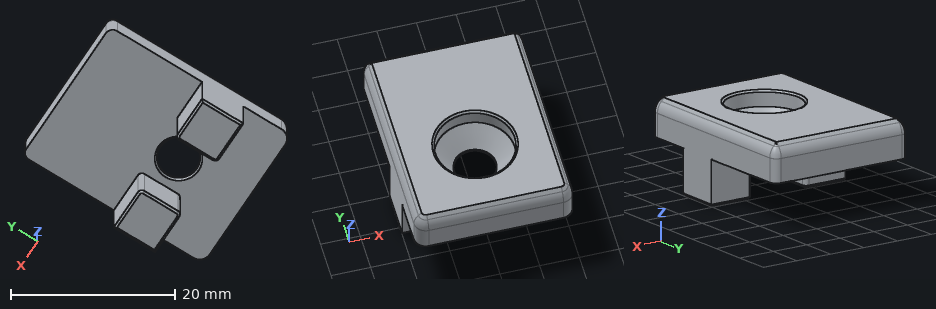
import cadquery as cq
import math

width = 20.0
length = 26.3
plate_height = 5.0
front_corner_radius = 1.5
rear_corner_radius = 1.0
edge_chamfer = 1.0
rim_slope_angle = 45
edge_blend_radius = 2.0

hole_y = 10.0
hole_diameter = 5.29
head_diameter = 10.0
head_depth = 2.1
rim_chamfer = 0.25

leg_width = 6.05
leg_depth = 6.0
leg_height = 6.0
leg_inner_radius = 0.58
foot_chamfer = 0.3


def add_rim_section(sketch, wall):
    """Draw the blended wall and chamfer up to the top, starting on a wall at the underside.

    The wall stands at the given distance from the sketch axis and the chamfer leans inward.
    """
    bend = math.radians(rim_slope_angle)
    blend_bottom = plate_height - edge_chamfer - edge_blend_radius * math.tan(bend / 2)

    def point_on_blend(angle):
        inset = edge_blend_radius * (1 - math.cos(angle))
        rise = edge_blend_radius * math.sin(angle)
        return (wall - inset, blend_bottom + rise)

    return (
        sketch.lineTo(wall, blend_bottom)
        .threePointArc(point_on_blend(bend / 2), point_on_blend(bend))
        .lineTo(wall - edge_chamfer, plate_height)
    )


def make_bar(plane, run_length, bar_width):
    """Straight bar, centred on its plane, with the rim section on both of its long sides."""
    half = cq.Workplane(plane).lineTo(bar_width / 2, 0)
    half = add_rim_section(half, bar_width / 2)
    half = half.lineTo(0, plate_height).close().extrude(run_length / 2, both=True)
    return half.union(half.rotate((0, 0, 0), (0, 0, 1), 180))


def make_corner_post(radius):
    """Round post whose outside is the rim section turned about the corner axis."""
    sketch = add_rim_section(cq.Workplane("XZ").lineTo(radius, 0), radius)
    if radius > edge_chamfer:
        sketch = sketch.lineTo(0, plate_height)
    return sketch.close().revolve(360, (0, 0, 0), (0, 1, 0))


def make_plate():
    """Slab with rounded corners and a chamfered top rim that blends into its walls."""
    plate = make_bar("XZ", length, width).intersect(make_bar("YZ", width, length))
    plate = plate.translate((0, length / 2, 0))
    corners = [
        (front_corner_radius, 0, 1),
        (rear_corner_radius, length, -1),
    ]
    for radius, corner_y, inward in corners:
        for side in (-1, 1):
            square = cq.Workplane("XY").box(radius, radius, plate_height, centered=(True, True, False))
            square_center = (side * (width - radius) / 2, corner_y + inward * radius / 2, 0)
            post_center = (side * (width / 2 - radius), corner_y + inward * radius, 0)
            plate = plate.cut(square.translate(square_center))
            plate = plate.union(make_corner_post(radius).translate(post_center))
    return plate


def make_leg(side):
    """Square leg on one side (-1 left, +1 right) with rounded inner edges."""
    leg = cq.Workplane("XY").box(leg_width, leg_depth, leg_height, centered=(True, True, False))
    inner_face = "<X" if side > 0 else ">X"
    leg = leg.edges(f"|Z and {inner_face}").fillet(leg_inner_radius)
    leg = leg.faces("<Z").edges().chamfer(foot_chamfer)
    return leg.translate((side * (width - leg_width) / 2, hole_y, -leg_height))


def make_screw_hole():
    """Stepped cutter: head bore, 45 degree cone and through hole, chamfered at both mouths."""
    hole_radius = hole_diameter / 2
    head_radius = head_diameter / 2
    head_floor = plate_height - head_depth
    cone_bottom = head_floor - (head_radius - hole_radius)
    profile = [
        (0, 0),
        (hole_radius + rim_chamfer, 0),
        (hole_radius, rim_chamfer),
        (hole_radius, cone_bottom),
        (head_radius, head_floor),
        (head_radius, plate_height - rim_chamfer),
        (head_radius + rim_chamfer, plate_height),
        (0, plate_height),
    ]
    cutter = cq.Workplane("XZ").polyline(profile).close().revolve(360, (0, 0, 0), (0, 1, 0))
    return cutter.translate((0, hole_y, 0))


result = make_plate()
for side in (-1, 1):
    result = result.union(make_leg(side))
result = result.cut(make_screw_hole())